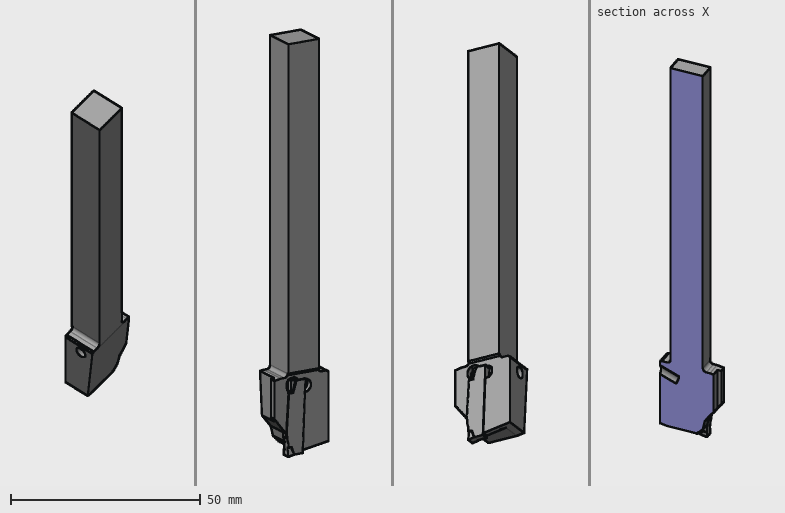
import cadquery as cq
import math

total_height = 114.3
shank_size = 9.5
shank_y = 3.1
shank_back_y = shank_y + shank_size

head_inset = 0.3
head_depth = 16.7
head_top = 22.0
front_chamfer_width = 0.6
front_chamfer_height = 0.3
back_slope_width = 2.1
back_slope_drop = 0.3
neck_fillet = 1.0
neck_step_bottom = 22.5
neck_step_top = 23.1
head_front_bottom = 2.3
back_edge_bottom = 11.1
blade_nose_y = 13.1
blade_nose_z = 6.5
seat_bottom_y = 10.9
blade_bottom_y = 8.2
blade_bottom = 1.0
taper_angle = 4.7
taper_top = head_top - front_chamfer_height

blade_right_x = 2.2
block_back_y = 15.7
block_bottom = 2.0

insert_tip_y = 12.6
insert_top = 20.8
insert_bottom = 0.3
insert_front_top_y = 7.3
insert_front_bottom_y = 8.1
insert_back_top_y = 12.3
insert_back_bottom_y = 13.0
insert_back_bottom_z = 6.9
relief_y = 12.8
relief_z = 4.6
tip_clearance_z = 3.8
corner_top_y = 10.1
corner_bottom_y = 11.1
corner_bottom_z = 17.5
ledge_x = 0.5
ledge_back_y = 11.4
tip_width = 2.4
tip_head_height = 1.5
tip_height = 2.5
tip_neck_x = 0.5
tip_lower_y = 10.7
tip_upper_y = 11.5

back_recess_y = 11.0
back_recess_z = 19.7
back_recess_radius = 2.0
front_recess_y = 7.2
front_recess_z = 18.9
front_recess_radius = 1.77

front_hole_x = 5.6
front_hole_z = 19.1
front_hole_radius = 1.5
front_hole_depth = 5.5
front_hole_fall = 20


def side_plane(x):
    """Sketch plane facing +X, with sketch axes Y and Z."""
    return cq.Workplane("YZ", origin=(x, 0, 0))


def box_between(x_range, y_range, z_range):
    low = [span[0] for span in (x_range, y_range, z_range)]
    size = [span[1] - span[0] for span in (x_range, y_range, z_range)]
    return cq.Workplane("XY").box(*size, centered=False).translate(tuple(low))


def make_shank():
    bar = box_between((0, shank_size), (shank_y, shank_back_y), (neck_step_bottom, total_height))
    step = (
        cq.Workplane("XZ")
        .moveTo(0, neck_step_bottom)
        .lineTo(head_inset, neck_step_bottom)
        .lineTo(0, neck_step_top)
        .close()
        .extrude(-head_depth)
    )
    return bar.cut(step)


def make_head():
    arc_offset = neck_fillet * (1 - math.sqrt(0.5))
    neck_top = head_top + neck_fillet
    block = (
        side_plane(head_inset)
        .moveTo(0, head_front_bottom)
        .lineTo(0, head_top - front_chamfer_height)
        .lineTo(front_chamfer_width, head_top)
        .lineTo(shank_y - neck_fillet, head_top)
        .threePointArc((shank_y - arc_offset, head_top + arc_offset), (shank_y, neck_top))
        .lineTo(shank_back_y, neck_top)
        .threePointArc(
            (shank_back_y + arc_offset, head_top + arc_offset),
            (shank_back_y + neck_fillet, head_top),
        )
        .lineTo(head_depth - back_slope_width, head_top)
        .lineTo(head_depth, head_top - back_slope_drop)
        .lineTo(head_depth, back_edge_bottom)
        .lineTo(blade_nose_y, blade_nose_z)
        .lineTo(insert_tip_y, tip_clearance_z)
        .lineTo(seat_bottom_y, block_bottom)
        .lineTo(blade_bottom_y, blade_bottom)
        .close()
        .extrude(shank_size - head_inset)
    )
    behind_blade = (blade_right_x, shank_size)
    back_relief = box_between(behind_blade, (block_back_y, head_depth), (0, head_top))
    bottom_relief = box_between(behind_blade, (0, head_depth), (0, block_bottom))
    taper_run = taper_top * math.tan(math.radians(taper_angle))
    flank = (
        cq.Workplane("XZ")
        .moveTo(shank_size, taper_top)
        .lineTo(shank_size, 0)
        .lineTo(shank_size - taper_run, 0)
        .close()
        .extrude(-head_depth)
    )
    return block.cut(back_relief).cut(bottom_relief).cut(flank)


def insert_blank():
    """Long insert body, without the cutting tip."""
    return (
        side_plane(0)
        .polyline(
            [
                (tip_lower_y, insert_bottom),
                (insert_front_bottom_y, insert_bottom),
                (insert_front_top_y, insert_top),
                (corner_top_y, insert_top),
                (corner_bottom_y, corner_bottom_z),
                (insert_back_top_y, corner_bottom_z),
                (insert_back_bottom_y, insert_back_bottom_z),
                (relief_y, relief_z),
                (insert_tip_y, tip_clearance_z),
                (insert_tip_y, tip_height),
                (tip_upper_y, tip_height),
            ]
        )
        .close()
        .extrude(blade_right_x)
    )


def corner_ledge():
    """Lower step beside the slanted top corner of the insert."""
    return (
        side_plane(ledge_x)
        .polyline(
            [
                (corner_top_y, insert_top),
                (ledge_back_y, insert_top),
                (ledge_back_y, corner_bottom_z),
                (corner_bottom_y, corner_bottom_z),
            ]
        )
        .close()
        .extrude(blade_right_x - ledge_x)
    )


def make_tip():
    """Widened cutting end; its left side leans in above the edge."""
    section = (
        cq.Workplane("XZ")
        .polyline(
            [
                (0, 0),
                (tip_width, 0),
                (tip_width, tip_head_height),
                (blade_right_x, tip_head_height),
                (blade_right_x, tip_height),
                (tip_neck_x, tip_height),
            ]
        )
        .close()
        .extrude(-head_depth)
    )
    outline = (
        side_plane(0)
        .polyline(
            [
                (insert_tip_y, 0),
                (tip_lower_y, insert_bottom),
                (tip_upper_y, tip_height),
                (insert_tip_y, tip_height),
            ]
        )
        .close()
        .extrude(tip_width)
    )
    return section.intersect(outline)


def left_recess(y, z, radius):
    return side_plane(0).center(y, z).circle(radius).extrude(blade_right_x)


def front_hole():
    """Slanted cylinder that starts outside the front face, so that it cuts the face fully."""
    fall = math.radians(front_hole_fall)
    axis = cq.Vector(0, math.cos(fall), -math.sin(fall))
    lead_in = 2 * front_hole_radius
    start = cq.Vector(front_hole_x, 0, front_hole_z) - axis * lead_in
    return cq.Solid.makeCylinder(front_hole_radius, front_hole_depth + lead_in, start, axis)


insert = insert_blank().union(corner_ledge()).union(make_tip())

holder = (
    make_shank()
    .union(make_head())
    .cut(left_recess(back_recess_y, back_recess_z, back_recess_radius))
    .cut(left_recess(front_recess_y, front_recess_z, front_recess_radius))
    .cut(cq.Workplane(front_hole()))
    .cut(insert)
)

result = cq.Compound.makeCompound([holder.val(), insert.val()])